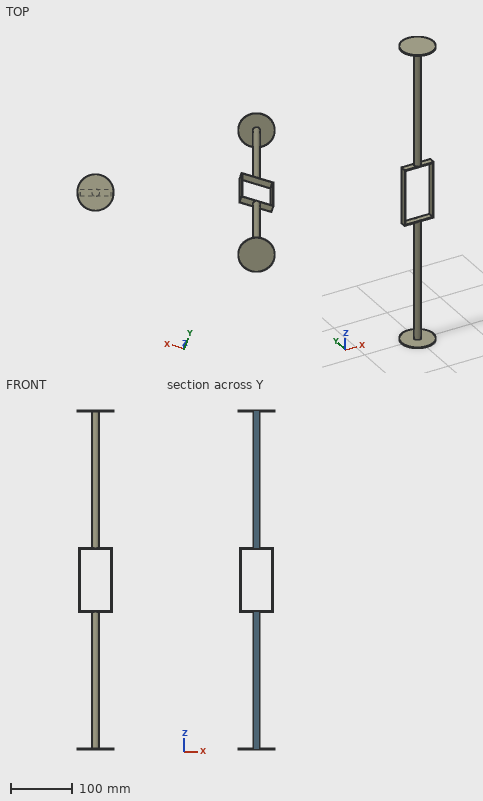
import cadquery as cq

total_height = 554.0
disc_diameter = 60.0
disc_thickness = 2.0
rod_diameter = 12.0
frame_width = 55.0
frame_height = 105.0
frame_depth = 11.0
frame_wall = 2.0

rod_length = (total_height - frame_height) / 2


def end_assembly():
    """Lower rod with its end disc, reaching from the base up to the frame."""
    disc = cq.Workplane("XY").circle(disc_diameter / 2).extrude(disc_thickness)
    rod = cq.Workplane("XY").circle(rod_diameter / 2).extrude(rod_length + frame_wall / 2)
    return disc.union(rod).translate((0, 0, -total_height / 2))


def frame():
    """Open rectangular frame at mid-height, facing along Y."""
    outer = cq.Workplane("XY").box(frame_width, frame_depth, frame_height)
    opening = cq.Workplane("XY").box(
        frame_width - 2 * frame_wall, frame_depth, frame_height - 2 * frame_wall
    )
    return outer.cut(opening)


lower_end = end_assembly()
upper_end = lower_end.mirror("XY")
result = frame().union(lower_end).union(upper_end)